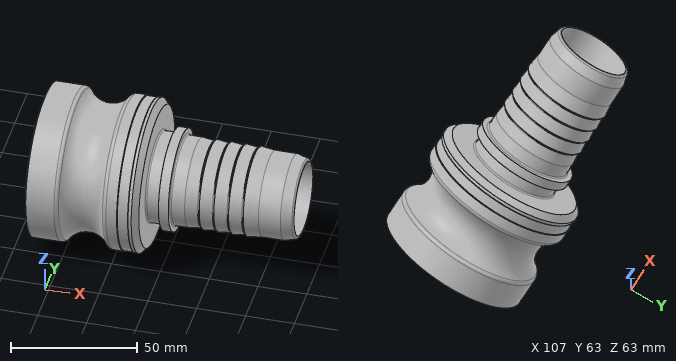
import cadquery as cq
import math

LENGTH = 107.0

BODY_R = 63.0 / 2
BODY_END = 47.0
MOUTH_FACE_R = 54.0 / 2
MOUTH_CHAMFER = 1.3
SHOULDER_CHAMFER = 2.5

CAM_CENTER_X = 23.5
CAM_ARC_R = 11.0
CAM_FLOOR_R = 26.0
CAM_EDGE_R = 2.0

BAND_R = 62.5 / 2
BAND_START = 38.5
BAND_END = 43.2

NECK_R = 37.0 / 2
FLANGE_R = 42.0 / 2
FLANGE_START = 53.0
FLANGE_END = 57.0
ROOT_FILLET = 0.6

BARB_TOP_R = 36.5 / 2
TAIL_R = 35.0 / 2
BARB_START = 63.0
BARB_COUNT = 5
BARB_PITCH = 6.0
BARB_RISE_ANGLE = math.radians(45.0)
BARB_ROOT_FILLET = 0.4
LEAD_IN_LENGTH = 5.0
LEAD_IN_ANGLE = math.radians(15.0)
TIP_ROUND = 0.8

BORE_R = 30.0 / 2
MOUTH_BORE_R = 47.0 / 2
BORE_TAPER_END = 32.0


def revolve_about_x(profile):
    """Turn a closed (x, radius) profile into a solid about the X axis."""
    return profile.close().revolve(360, (0, 0, 0), (1, 0, 0))


def fillet_circles(solid, circles, radius):
    """Round the circular edges given as (x, radius) pairs."""
    tolerance = 0.01
    for x, edge_r in circles:
        reach = edge_r + tolerance
        slab = cq.selectors.BoxSelector(
            (x - tolerance, -reach, -reach),
            (x + tolerance, reach, reach),
            boundingbox=True,
        )
        circle = solid.edges(slab).filter(lambda e: abs(e.radius() - edge_r) < tolerance)
        solid = circle.fillet(radius)
    return solid


def make_body():
    """Coupling body with chamfered ends, cam groove and shallow band."""
    arc_center_r = CAM_FLOOR_R + CAM_ARC_R
    edge_center_r = BODY_R - CAM_EDGE_R
    rise = arc_center_r - edge_center_r
    center_distance = CAM_ARC_R + CAM_EDGE_R
    half_width = math.sqrt(center_distance**2 - rise**2)
    angle = math.atan2(half_width, rise)

    join_dx = CAM_ARC_R * math.sin(angle)
    join_r = arc_center_r - CAM_ARC_R * math.cos(angle)
    mid_dx = half_width - CAM_EDGE_R * math.sin(angle / 2)
    mid_r = edge_center_r + CAM_EDGE_R * math.cos(angle / 2)

    band_depth = BODY_R - BAND_R
    profile = (
        cq.Workplane("XY")
        .moveTo(0, 0)
        .lineTo(0, MOUTH_FACE_R)
        .lineTo(MOUTH_CHAMFER, BODY_R)
        .lineTo(CAM_CENTER_X - half_width, BODY_R)
        .threePointArc((CAM_CENTER_X - mid_dx, mid_r), (CAM_CENTER_X - join_dx, join_r))
        .threePointArc((CAM_CENTER_X, CAM_FLOOR_R), (CAM_CENTER_X + join_dx, join_r))
        .threePointArc((CAM_CENTER_X + mid_dx, mid_r), (CAM_CENTER_X + half_width, BODY_R))
        .lineTo(BAND_START, BODY_R)
        .lineTo(BAND_START + band_depth, BAND_R)
        .lineTo(BAND_END - band_depth, BAND_R)
        .lineTo(BAND_END, BODY_R)
        .lineTo(BODY_END - SHOULDER_CHAMFER, BODY_R)
        .lineTo(BODY_END, BODY_R - SHOULDER_CHAMFER)
        .lineTo(BODY_END, 0)
    )
    return revolve_about_x(profile)


def make_tail():
    """Neck, stop flange and barbed hose tail, with rounded roots and tip."""
    fall_slope = (BARB_TOP_R - TAIL_R) / BARB_PITCH
    rise_slope = math.tan(BARB_RISE_ANGLE)
    root_gap = (BARB_TOP_R - TAIL_R) / (rise_slope + fall_slope)
    root_r = BARB_TOP_R - root_gap * rise_slope
    barb_starts = [BARB_START + i * BARB_PITCH for i in range(BARB_COUNT)]
    roots = [(start - root_gap, root_r) for start in barb_starts[1:]]
    barbs_end = BARB_START + BARB_COUNT * BARB_PITCH
    tip_r = TAIL_R - LEAD_IN_LENGTH * math.tan(LEAD_IN_ANGLE)

    profile = (
        cq.Workplane("XY")
        .moveTo(BODY_END, 0)
        .lineTo(BODY_END, NECK_R)
        .lineTo(FLANGE_START, NECK_R)
        .lineTo(FLANGE_START, FLANGE_R)
        .lineTo(FLANGE_END, FLANGE_R)
        .lineTo(FLANGE_END, BARB_TOP_R)
        .lineTo(BARB_START, BARB_TOP_R)
    )
    for root, crest_x in zip(roots, barb_starts[1:]):
        profile = profile.lineTo(*root).lineTo(crest_x, BARB_TOP_R)
    profile = (
        profile.lineTo(barbs_end, TAIL_R)
        .lineTo(LENGTH - LEAD_IN_LENGTH, TAIL_R)
        .lineTo(LENGTH, tip_r)
        .lineTo(LENGTH, 0)
    )
    tail = revolve_about_x(profile)
    flange_roots = [(FLANGE_START, NECK_R), (FLANGE_END, BARB_TOP_R)]
    tail = fillet_circles(tail, flange_roots, ROOT_FILLET)
    tail = fillet_circles(tail, roots, BARB_ROOT_FILLET)
    return fillet_circles(tail, [(LENGTH, tip_r)], TIP_ROUND)


def make_passage():
    """Through passage, tapering from the mouth to the straight bore."""
    profile = (
        cq.Workplane("XY")
        .moveTo(0, 0)
        .lineTo(0, MOUTH_BORE_R)
        .lineTo(BORE_TAPER_END, BORE_R)
        .lineTo(LENGTH, BORE_R)
        .lineTo(LENGTH, 0)
    )
    return revolve_about_x(profile)


outside = make_body().union(make_tail())
outside = fillet_circles(outside, [(BODY_END, NECK_R)], ROOT_FILLET)
result = outside.cut(make_passage())